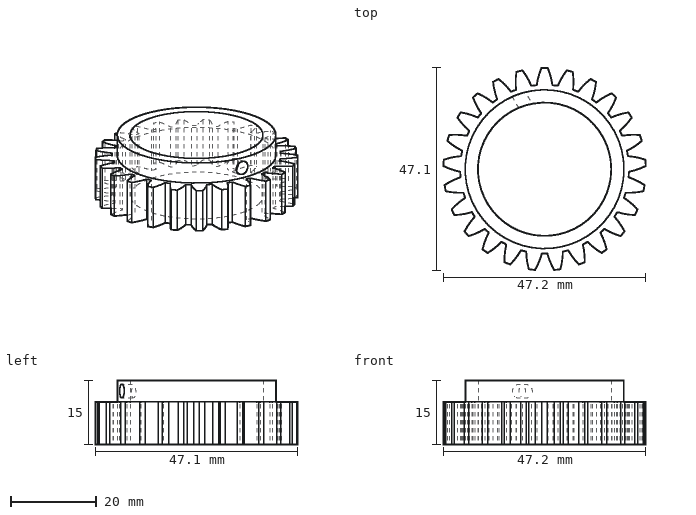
import cadquery as cq
import math

tooth_count = 25
gear_module = 1.75
gear_height = 10.0
pitch_radius = gear_module * tooth_count / 2
tip_radius = 23.61
dedendum_factor = 1.25
root_radius = pitch_radius - dedendum_factor * gear_module
tooth_pitch_angle = 360 / tooth_count
first_tooth_angle = 90.0

half_angle_root = 5.4
half_angle_pitch = tooth_pitch_angle / 4
half_angle_tip = 1.8

collar_diameter = 37.0
collar_height = 5.0
bore_diameter = 31.0
total_height = gear_height + collar_height

screw_hole_diameter = 3.2
screw_hole_direction = 120.0
screw_hole_offset = 3.5
screw_hole_z = gear_height + collar_height / 2


def polar(radius, angle):
    """Point at a radius and an angle in degrees from +X."""
    radians = math.radians(angle)
    return (radius * math.cos(radians), radius * math.sin(radians))


def make_gear_blank():
    """Toothed disc: each tooth has two curved flanks, a tip land and a root land."""
    start_angle = first_tooth_angle - half_angle_root
    outline = cq.Workplane("XY").moveTo(*polar(root_radius, start_angle))
    for index in range(tooth_count):
        center = first_tooth_angle + index * tooth_pitch_angle
        next_center = center + tooth_pitch_angle
        outline = outline.threePointArc(
            polar(pitch_radius, center - half_angle_pitch),
            polar(tip_radius, center - half_angle_tip),
        )
        outline = outline.threePointArc(
            polar(tip_radius, center),
            polar(tip_radius, center + half_angle_tip),
        )
        outline = outline.threePointArc(
            polar(pitch_radius, center + half_angle_pitch),
            polar(root_radius, center + half_angle_root),
        )
        outline = outline.threePointArc(
            polar(root_radius, center + tooth_pitch_angle / 2),
            polar(root_radius, next_center - half_angle_root),
        )
    return outline.close().extrude(gear_height)


def make_collar():
    """Plain round collar, running the full height through the gear."""
    return cq.Workplane("XY").circle(collar_diameter / 2).extrude(total_height)


def make_bore():
    return cq.Workplane("XY").circle(bore_diameter / 2).extrude(total_height)


def make_screw_hole():
    """Horizontal cylinder from inside the bore outward past the collar wall."""
    start_x, start_y = polar(screw_hole_offset, screw_hole_direction - 90)
    axis_x, axis_y = polar(1, screw_hole_direction)
    return cq.Workplane(
        obj=cq.Solid.makeCylinder(
            screw_hole_diameter / 2,
            collar_diameter,
            cq.Vector(start_x, start_y, screw_hole_z),
            cq.Vector(axis_x, axis_y, 0),
        )
    )


result = make_gear_blank().union(make_collar()).cut(make_bore()).cut(make_screw_hole())